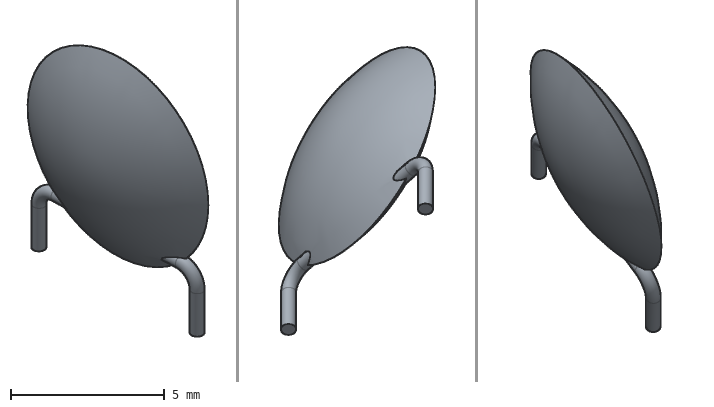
import cadquery as cq

disc_diameter = 8.0
disc_thickness = 2.5

wire_diameter = 0.5
leg_spacing = 6.99
bend_radius = 0.75
overall_height = 9.35
leg_length = 1.74

disc_radius = disc_diameter / 2
half_thickness = disc_thickness / 2
leg_x = leg_spacing / 2
leg_bottom_z = disc_radius - overall_height
bend_start_z = leg_bottom_z + leg_length


def make_wire():
    """Sweep a round section up one leg, across, and down the other leg."""
    run_z = bend_start_z + bend_radius
    run_end_x = leg_x - bend_radius
    path = (
        cq.Workplane("XZ")
        .moveTo(-leg_x, leg_bottom_z)
        .lineTo(-leg_x, bend_start_z)
        .tangentArcPoint((-run_end_x, run_z), relative=False)
        .lineTo(run_end_x, run_z)
        .tangentArcPoint((leg_x, bend_start_z), relative=False)
        .lineTo(leg_x, leg_bottom_z)
    )
    return (
        cq.Workplane("XY", origin=(-leg_x, 0, leg_bottom_z))
        .circle(wire_diameter / 2)
        .sweep(path)
    )


def make_disc(wire):
    """Revolve a half lens about the Y axis and cut the hole that the wire fills."""
    dome_radius = (disc_radius**2 + half_thickness**2) / disc_thickness
    dome_centre_y = half_thickness - dome_radius
    mid_x = disc_radius / 2
    mid_y = dome_centre_y + (dome_radius**2 - mid_x**2) ** 0.5
    lens = (
        cq.Workplane("XY")
        .moveTo(0, -half_thickness)
        .threePointArc((mid_x, -mid_y), (disc_radius, 0))
        .threePointArc((mid_x, mid_y), (0, half_thickness))
        .close()
        .revolve(360, (0, 0, 0), (0, 1, 0))
    )
    return lens.cut(wire).solids()


lead_wire = make_wire()
disc = make_disc(lead_wire)

result = cq.Compound.makeCompound([disc.val(), lead_wire.val()])